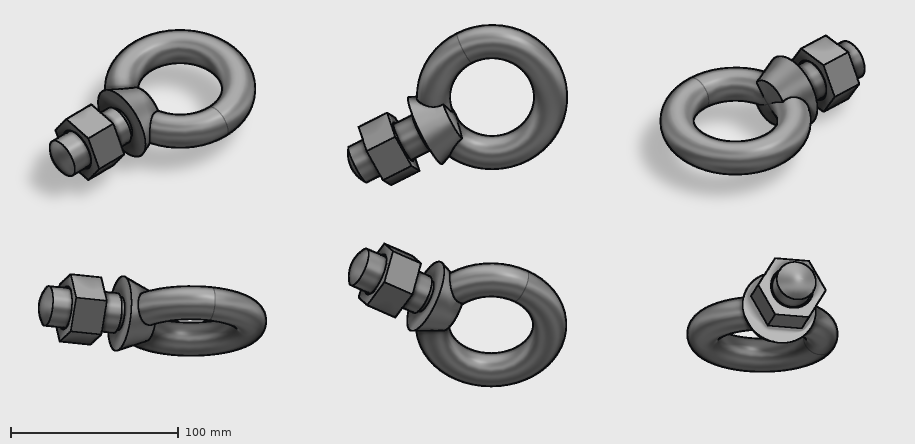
import cadquery as cq
import math

overall_length = 140.0

ring_outer_diameter = 90.0
bar_diameter = 20.0
ring_outer_radius = ring_outer_diameter / 2
bar_radius = bar_diameter / 2
ring_mean_radius = ring_outer_radius - bar_radius

collar_base_radius = 45.0 / 2
collar_top_radius = 14.7
collar_dome_rise = 1.7
collar_base_y = -ring_outer_radius
collar_apex_y = collar_base_y + bar_diameter
collar_edge_y = collar_apex_y - collar_dome_rise

shank_radius = 24.0 / 2
neck_radius = bar_radius
neck_length = 2.5
tip_rise = 4.0
neck_end_y = collar_base_y - neck_length
tip_y = ring_outer_radius - overall_length
shank_end_y = tip_y + tip_rise

nut_across_flats = 36.0
nut_height = 19.3
nut_gap = 15.0
countersink_radius = 26.0 / 2
countersink_depth = 1.0
nut_across_corners = nut_across_flats / math.cos(math.pi / 6)
nut_near_y = collar_base_y - nut_gap
nut_far_y = nut_near_y - nut_height


def dome_midpoint(edge_radius, rise):
    """Radius and height above the rim of the point halfway along a spherical cap's profile."""
    sphere_radius = (edge_radius**2 + rise**2) / (2 * rise)
    half_angle = math.asin(edge_radius / sphere_radius) / 2
    drop = sphere_radius * (1 - math.cos(half_angle))
    return sphere_radius * math.sin(half_angle), rise - drop


def revolve_about_y(profile):
    return profile.close().revolve(360, (0, 0, 0), (0, 1, 0))


def make_ring():
    return cq.Workplane(cq.Solid.makeTorus(ring_mean_radius, bar_radius))


def make_collar_and_shank():
    collar_mid_radius, collar_mid_rise = dome_midpoint(collar_top_radius, collar_dome_rise)
    tip_mid_radius, tip_mid_rise = dome_midpoint(shank_radius, tip_rise)
    return revolve_about_y(
        cq.Workplane("XY")
        .moveTo(0, collar_apex_y)
        .threePointArc(
            (collar_mid_radius, collar_edge_y + collar_mid_rise),
            (collar_top_radius, collar_edge_y),
        )
        .lineTo(collar_base_radius, collar_base_y)
        .lineTo(neck_radius, collar_base_y)
        .lineTo(neck_radius, neck_end_y)
        .lineTo(shank_radius, neck_end_y)
        .lineTo(shank_radius, shank_end_y)
        .threePointArc((tip_mid_radius, shank_end_y - tip_mid_rise), (0, tip_y))
    )


def make_eye_bolt():
    return make_ring().union(make_collar_and_shank())


def make_nut():
    blank = (
        cq.Workplane("XZ", origin=(0, nut_near_y, 0))
        .polygon(6, nut_across_corners)
        .extrude(nut_height)
    )
    bore = revolve_about_y(
        cq.Workplane("XY")
        .moveTo(0, nut_near_y)
        .lineTo(countersink_radius, nut_near_y)
        .lineTo(shank_radius, nut_near_y - countersink_depth)
        .lineTo(shank_radius, nut_far_y + countersink_depth)
        .lineTo(countersink_radius, nut_far_y)
        .lineTo(0, nut_far_y)
    )
    return blank.cut(bore)


eye_bolt = make_eye_bolt()
nut = make_nut()
result = cq.Compound.makeCompound([eye_bolt.solids().val(), nut.solids().val()])